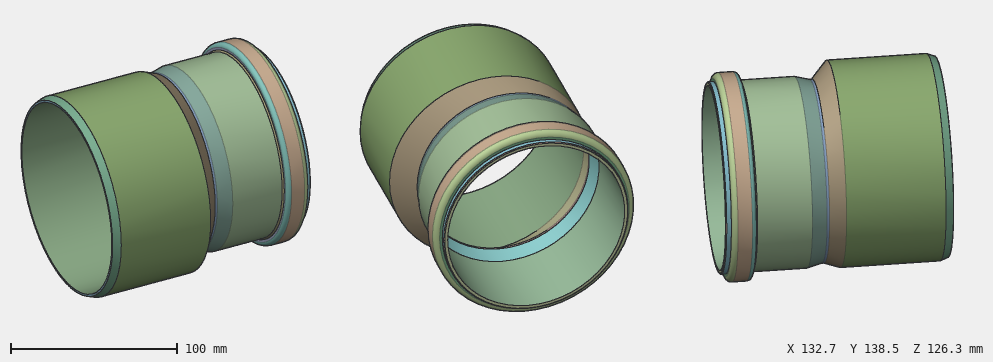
import cadquery as cq

length = 138.5

bead_outer_dia = 126.3
lip_outer_dia = 116.0
socket_outer_dia = 115.6
socket_bore_dia = 111.2
neck_outer_dia = 111.0
neck_bore_dia = 104.7
spigot_outer_dia = 125.0
spigot_tip_dia = 121.5
spigot_bore_dia = 118.8

lip_length = 3.3
bead_end = 18.3
socket_end = 52.5
neck_start = 61.6
neck_end = 63.2
spigot_start = 73.4

bead_front_round = 3.5
bead_back_round = 2.8
bead_root_width = 1.0
lip_chamfer = 0.5
spigot_tip_length = 4.8

spigot_offset = (spigot_outer_dia - neck_outer_dia) / 2


def station(distance):
    """Y position at a distance from the socket mouth."""
    return length - distance


def frustum(start, start_dia, end, end_dia, start_x=0.0, end_x=0.0):
    """Ruled solid between two circles, whose centres may be offset in X."""
    plane = cq.Plane(origin=(0, station(start), 0), xDir=(1, 0, 0), normal=(0, -1, 0))
    return (
        cq.Workplane(plane)
        .center(start_x, 0)
        .circle(start_dia / 2)
        .workplane(offset=end - start)
        .center(end_x - start_x, 0)
        .circle(end_dia / 2)
        .loft(ruled=True)
    )


def cylinder(start, end, diameter, offset_x=0.0):
    plane = cq.Plane(origin=(offset_x, station(start), 0), xDir=(1, 0, 0), normal=(0, -1, 0))
    return cq.Workplane(plane).circle(diameter / 2).extrude(end - start)


def bead():
    """Sealing bead around the socket mouth, rounded on both sides."""
    ring = cylinder(lip_length, bead_end, bead_outer_dia)
    ring = ring.faces(">Y").edges().fillet(bead_front_round)
    return ring.faces("<Y").edges().fillet(bead_back_round)


def outer_body():
    body = cylinder(0, lip_length, lip_outer_dia).faces(">Y").chamfer(lip_chamfer)
    body = body.union(bead())
    root_end = bead_end + bead_root_width
    root_dia = socket_outer_dia + 2 * bead_root_width
    body = body.union(frustum(bead_end, root_dia, root_end, socket_outer_dia))
    body = body.union(cylinder(root_end, socket_end, socket_outer_dia))
    body = body.union(frustum(socket_end, socket_outer_dia, neck_start, neck_outer_dia))
    body = body.union(cylinder(neck_start, neck_end, neck_outer_dia))
    body = body.union(
        frustum(neck_end, neck_outer_dia, spigot_start, spigot_outer_dia, 0, spigot_offset)
    )
    tip_start = length - spigot_tip_length
    body = body.union(cylinder(spigot_start, tip_start, spigot_outer_dia, spigot_offset))
    return body.union(
        frustum(tip_start, spigot_outer_dia, length, spigot_tip_dia, spigot_offset, spigot_offset)
    )


def bore():
    hollow = cylinder(0, socket_end, socket_bore_dia)
    hollow = hollow.union(frustum(socket_end, socket_bore_dia, neck_start, neck_bore_dia))
    hollow = hollow.union(cylinder(neck_start, neck_end, neck_bore_dia))
    hollow = hollow.union(
        frustum(neck_end, neck_bore_dia, spigot_start, spigot_bore_dia, 0, spigot_offset)
    )
    return hollow.union(cylinder(spigot_start, length, spigot_bore_dia, spigot_offset))


result = outer_body().cut(bore())